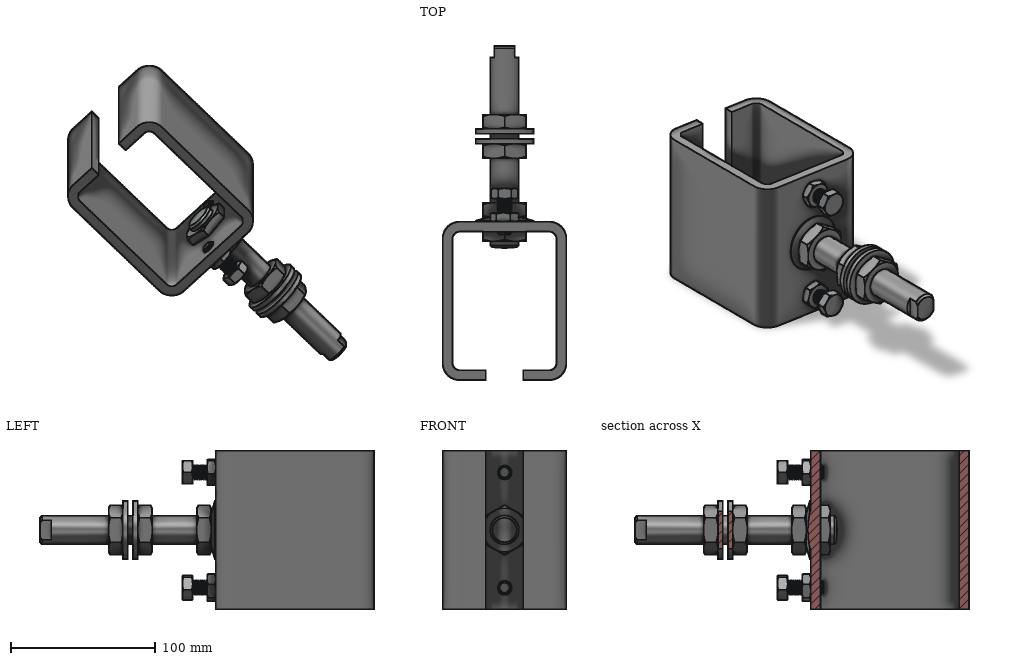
import cadquery as cq
import math


CHANNEL_WIDTH = 86.0
CHANNEL_DEPTH = 110.0
CHANNEL_HEIGHT = 110.0
WALL = 7.0
OUTER_BEND_RADIUS = 12.0
INNER_BEND_RADIUS = OUTER_BEND_RADIUS - WALL
SLOT_WIDTH = 26.0

ROD_DIAMETER = 20.0
ROD_OUTER_END = 122.0
ROD_INNER_END = -17.8
ROD_CHAMFER = 1.6
ROD_POINT_HEIGHT = 0.6
ROD_FLAT_LENGTH = 8.0
ROD_ACROSS_FLATS = 14.5

ROD_NUT_ACROSS_FLATS = 30.0
ROD_NUT_HEIGHT = 10.0
ROD_NUT_ANGLE = 90.0
BACK_NUT_BASE = 3.1
INNER_NUT_BASE = -13.5
WASHER_DIAMETER = 40.3
WASHER_THICKNESS = 3.5
WASHER_GAP = 3.3
CLAMP_NUT_BASE = 44.0
CONE_WASHER_TOP_DIAMETER = 23.0
CONE_WASHER_RIM = 0.6
CONE_WASHER_HEIGHT = BACK_NUT_BASE

SCREW_OFFSET = 40.0
SCREW_DIAMETER = 10.0
SCREW_INNER_END = -9.0
SCREW_CHAMFER = 1.5
HEAD_BASE = 16.0
HEAD_HEIGHT = 7.0
HEAD_ACROSS_FLATS = 16.0
LOCK_NUT_HEIGHT = 6.0
LOCK_NUT_ACROSS_FLATS = 17.0
THREAD_PITCH = 1.5
THREAD_DEPTH = 0.9
THREAD_ROOT_WIDTH = 1.3
THREAD_ROOT_OVERLAP = 0.1
THREAD_RUNOUT = 1.0
UPPER_HEAD_ANGLE = -1.0
UPPER_NUT_ANGLE = 6.0
LOWER_HEAD_ANGLE = 9.0
LOWER_NUT_ANGLE = -15.0

HEX_CHAMFER_ANGLE = 30.0
HEX_FACE_RATIO = 1.01


def cylinder_y(diameter, start, length):
    """Cylinder on the Y axis, growing in +Y from y = start."""
    return cq.Workplane("XZ", origin=(0, start, 0)).circle(diameter / 2).extrude(-length)


def revolve_y(profile):
    """Solid of revolution about the Y axis from (radius, y) points."""
    return cq.Workplane("XY").polyline(profile).close().revolve(360, (0, 0, 0), (0, 1, 0))


def hexagon(across_flats, start, height, angle):
    """Hexagonal prism on the Y axis with a corner at the given angle from +X, corners chamfered."""
    corner_radius = across_flats / math.sqrt(3)
    face_radius = HEX_FACE_RATIO * across_flats / 2
    slope = math.tan(math.radians(HEX_CHAMFER_ANGLE))
    chamfer_height = (corner_radius - face_radius) * slope
    end = start + height
    prism = cq.Workplane("XZ", origin=(0, start, 0)).polygon(6, 2 * corner_radius).extrude(-height)
    prism = prism.rotate((0, 0, 0), (0, 1, 0), -angle)
    envelope = revolve_y([
        (0, start),
        (face_radius, start),
        (corner_radius, start + chamfer_height),
        (corner_radius, end - chamfer_height),
        (face_radius, end),
        (0, end),
    ])
    return prism.intersect(envelope)


def make_channel():
    """Bent channel: rounded tube with a full-height slot in its front wall."""
    tube = (
        cq.Workplane("XY", origin=(0, -CHANNEL_DEPTH / 2, 0))
        .rect(CHANNEL_WIDTH, CHANNEL_DEPTH)
        .extrude(CHANNEL_HEIGHT / 2, both=True)
        .edges("|Z")
        .fillet(OUTER_BEND_RADIUS)
    )
    cavity = (
        cq.Workplane("XY", origin=(0, -CHANNEL_DEPTH / 2, 0))
        .rect(CHANNEL_WIDTH - 2 * WALL, CHANNEL_DEPTH - 2 * WALL)
        .extrude(CHANNEL_HEIGHT / 2, both=True)
        .edges("|Z")
        .fillet(INNER_BEND_RADIUS)
    )
    slot = cq.Workplane("XY").box(SLOT_WIDTH, 2 * WALL, CHANNEL_HEIGHT).translate((0, -CHANNEL_DEPTH, 0))
    return tube.cut(cavity).cut(slot)


def make_rod():
    """Rod with chamfered ends, a shallow inner point and two flats facing +X and -X."""
    radius = ROD_DIAMETER / 2
    tip_radius = radius - ROD_CHAMFER
    rod = revolve_y([
        (0, ROD_INNER_END - ROD_POINT_HEIGHT),
        (tip_radius, ROD_INNER_END),
        (radius, ROD_INNER_END + ROD_CHAMFER),
        (radius, ROD_OUTER_END - ROD_CHAMFER),
        (tip_radius, ROD_OUTER_END),
        (0, ROD_OUTER_END),
    ])
    for side in (-1, 1):
        flat = cq.Workplane("XY").box(ROD_DIAMETER, 2 * ROD_FLAT_LENGTH, 2 * ROD_DIAMETER)
        rod = rod.cut(flat.translate((side * (ROD_ACROSS_FLATS + ROD_DIAMETER) / 2, ROD_OUTER_END, 0)))
    return rod


def make_cone_washer():
    """Conical washer between the back wall and the back nut."""
    return revolve_y([
        (0, 0),
        (WASHER_DIAMETER / 2, 0),
        (WASHER_DIAMETER / 2, CONE_WASHER_RIM),
        (CONE_WASHER_TOP_DIAMETER / 2, CONE_WASHER_HEIGHT),
        (0, CONE_WASHER_HEIGHT),
    ])


def make_rod_hardware():
    """Nuts and washers on the rod."""
    lower_washer = CLAMP_NUT_BASE + ROD_NUT_HEIGHT
    upper_washer = lower_washer + WASHER_THICKNESS + WASHER_GAP
    outer_nut = upper_washer + WASHER_THICKNESS
    hardware = make_cone_washer()
    for base in (INNER_NUT_BASE, BACK_NUT_BASE, CLAMP_NUT_BASE, outer_nut):
        hardware = hardware.union(hexagon(ROD_NUT_ACROSS_FLATS, base, ROD_NUT_HEIGHT, ROD_NUT_ANGLE))
    for base in (lower_washer, upper_washer):
        hardware = hardware.union(cylinder_y(WASHER_DIAMETER, base, WASHER_THICKNESS))
    return hardware


def make_thread(start, end):
    """Threaded bar on the Y axis: a plain core with one right-hand helical ridge of triangular section."""
    crest_radius = SCREW_DIAMETER / 2
    core_radius = crest_radius - THREAD_DEPTH
    root_radius = core_radius - THREAD_ROOT_OVERLAP
    length = end - start
    helix = cq.Wire.makeHelix(THREAD_PITCH, length, crest_radius)
    ridge = (
        cq.Workplane("XZ")
        .polyline([
            (root_radius, -THREAD_ROOT_WIDTH / 2),
            (crest_radius, 0),
            (root_radius, THREAD_ROOT_WIDTH / 2),
        ])
        .close()
        .sweep(cq.Workplane(helix), isFrenet=True)
    )
    core = (
        cq.Workplane("XY", origin=(0, 0, -THREAD_ROOT_WIDTH))
        .circle(core_radius)
        .extrude(length + 2 * THREAD_ROOT_WIDTH)
    )
    bar = core.union(ridge).rotate((0, 0, 0), (1, 0, 0), -90)
    return bar.translate((0, start, 0))


def make_shank_end():
    """Threaded and chamfered screw end, from the middle of the back wall into the channel."""
    radius = SCREW_DIAMETER / 2
    envelope = revolve_y([
        (0, SCREW_INNER_END),
        (radius - SCREW_CHAMFER, SCREW_INNER_END),
        (radius, SCREW_INNER_END + SCREW_CHAMFER),
        (radius, -WALL / 2),
        (0, -WALL / 2),
    ])
    return make_thread(SCREW_INNER_END - THREAD_PITCH, -WALL / 2).intersect(envelope)


def make_screw(head_angle, nut_angle):
    """Hexagon-head screw with its lock nut seated on the channel's back wall."""
    screw = make_thread(LOCK_NUT_HEIGHT - THREAD_RUNOUT, HEAD_BASE + THREAD_RUNOUT)
    screw = screw.union(hexagon(HEAD_ACROSS_FLATS, HEAD_BASE, HEAD_HEIGHT, head_angle))
    screw = screw.union(hexagon(LOCK_NUT_ACROSS_FLATS, 0, LOCK_NUT_HEIGHT, nut_angle))
    return screw


result = make_channel().union(make_rod()).union(make_rod_hardware())
for height, head_angle, nut_angle in (
    (SCREW_OFFSET, UPPER_HEAD_ANGLE, UPPER_NUT_ANGLE),
    (-SCREW_OFFSET, LOWER_HEAD_ANGLE, LOWER_NUT_ANGLE),
):
    for component in (make_shank_end(), make_screw(head_angle, nut_angle)):
        result = result.union(component.translate((0, 0, height)))